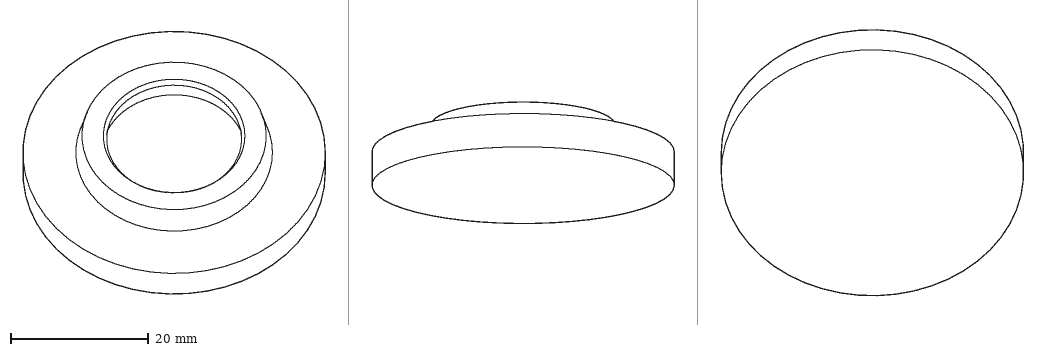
import cadquery as cq

flange_diameter = 44.0
flange_height = 5.0
boss_height = 4.0
boss_base_diameter = 28.6
boss_top_diameter = 26.8

throat_diameter = 19.62
floor_diameter = 20.95
recess_depth = boss_height
mouth_diameter = 20.6
mouth_depth = 0.8

total_height = flange_height + boss_height
recess_floor = total_height - recess_depth
mouth_bottom = total_height - mouth_depth

half_section = [
    (0, 0),
    (flange_diameter / 2, 0),
    (flange_diameter / 2, flange_height),
    (boss_base_diameter / 2, flange_height),
    (boss_top_diameter / 2, total_height),
    (mouth_diameter / 2, total_height),
    (throat_diameter / 2, mouth_bottom),
    (floor_diameter / 2, recess_floor),
    (0, recess_floor),
]

result = (
    cq.Workplane("XZ")
    .polyline(half_section)
    .close()
    .revolve(360, (0, 0), (0, 1))
)